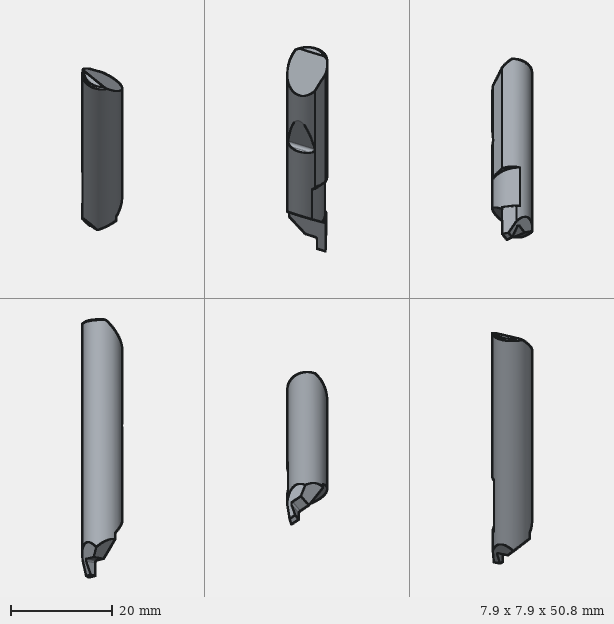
import cadquery as cq
import math

length = 50.8
radius = 3.95
oversize = 3 * radius

top_chamfer_height = 0.3
top_chamfer_width = 0.4
end_slope_axis_z = 48.5

flat_end_y = 2.75

notch_bottom_z = 29.15
notch_top_z = 37.6
notch_floor_y = 2.75
notch_deepest_z = 30.05
notch_corner_radius = 0.6

neck_bottom_z = 7.8
neck_top_z = 19.05
neck_half_width = 3.15
neck_middle_x = -3.3

rake_slope_axis_z = 7.7
front_relief_top_z = 5.9
front_relief_low_y = -1.2
front_relief_low_z = 0.15
bottom_relief_rise = 0.2
bottom_relief_y = -2.4
tip_right_x = -2.1
tip_height = 3.05
tip_corner_radius = 0.4
bevel_start_x = 0.4
bevel_end_z = 6.45
side_relief_end_y = -2.65


def circle_x(y):
    """Negative X of the bar surface at the given Y."""
    return -math.sqrt(radius**2 - y**2)


def cut_along_x(points):
    """Body with a (Y, Z) outline, passing through the bar along X."""
    return cq.Workplane("YZ").polyline(points).close().extrude(oversize, both=True)


def cut_along_y(points):
    """Body with an (X, Z) outline, passing through the bar along Y."""
    return cq.Workplane("XZ").polyline(points).close().extrude(oversize, both=True)


def shank():
    """Round bar with a chamfered top and an inclined end face."""
    bar = cq.Workplane("XY").circle(radius).extrude(length)
    bar = bar.faces(">Z").edges().chamfer(top_chamfer_height, top_chamfer_width)
    sloped_end = cut_along_x([
        (-oversize, end_slope_axis_z + oversize),
        (oversize, end_slope_axis_z - oversize),
        (oversize, end_slope_axis_z + oversize),
    ])
    return bar.cut(sloped_end)


def side_plane_cut(end_y, bottom_z, top_z):
    """Body outside the vertical plane from (-radius, 0) to the bar surface at end_y."""
    end_x = circle_x(end_y)
    outline = [(-radius, 0), (end_x, end_y), (-oversize, end_y), (-oversize, 0)]
    return cq.Workplane("XY").workplane(offset=bottom_z).polyline(outline).close().extrude(top_z - bottom_z)


def clamping_notch():
    """Notch with a sloping floor, a square lower wall and a rounded inner corner."""
    slope = (radius - notch_floor_y) / (notch_top_z - notch_deepest_z)
    corner_y = notch_floor_y - slope * (notch_deepest_z - notch_bottom_z)
    outer_z = notch_top_z + (oversize - radius) / slope
    notch = cut_along_x([(corner_y, notch_bottom_z), (oversize, notch_bottom_z), (oversize, outer_z)])
    return notch.edges("|X and <Y").fillet(notch_corner_radius)


def neck_recess():
    """Shallow curved relief along the -X side."""
    end_x = circle_x(neck_half_width)
    return (
        cq.Workplane("XY").workplane(offset=neck_bottom_z)
        .moveTo(end_x, -neck_half_width)
        .threePointArc((neck_middle_x, 0), (end_x, neck_half_width))
        .lineTo(-oversize, neck_half_width)
        .lineTo(-oversize, -neck_half_width)
        .close()
        .extrude(neck_top_z - neck_bottom_z)
    )


def rake_cut():
    """Half of the bar removed behind the rake face, ending in a 45 degree face."""
    return cut_along_x([
        (0, -oversize),
        (0, rake_slope_axis_z),
        (oversize, rake_slope_axis_z + oversize),
        (oversize, -oversize),
    ])


def front_relief():
    """Inclined clearance on the -Y side of the tip."""
    slope = (front_relief_top_z - front_relief_low_z) / (front_relief_low_y + radius)
    return cut_along_x([
        (-oversize, front_relief_top_z + slope * (oversize - radius)),
        (0, front_relief_low_z + slope * front_relief_low_y),
        (-oversize, front_relief_low_z + slope * front_relief_low_y),
    ])


def bottom_relief():
    """Slight clearance under the cutting edge."""
    slope = bottom_relief_rise / bottom_relief_y
    return cut_along_x([(0, 0), (-oversize, -slope * oversize), (-oversize, 0)])


def tip_clearance():
    """Space beside the narrow tip, continuing into the bevel on the +X side."""
    bevel_slope = (bevel_end_z - tip_height) / (radius - bevel_start_x)
    clearance = cut_along_y([
        (tip_right_x, -oversize),
        (tip_right_x, tip_height),
        (bevel_start_x, tip_height),
        (oversize, tip_height + bevel_slope * (oversize - bevel_start_x)),
        (oversize, -oversize),
    ])
    inner_corner = cq.selectors.NearestToPointSelector((tip_right_x, 0, tip_height))
    return clearance.edges("|Y").edges(inner_corner).fillet(tip_corner_radius)


result = (
    shank()
    .cut(side_plane_cut(flat_end_y, 0, length))
    .cut(clamping_notch())
    .cut(neck_recess())
    .cut(rake_cut())
    .cut(front_relief())
    .cut(bottom_relief())
    .cut(tip_clearance())
    .cut(side_plane_cut(side_relief_end_y, 0, neck_bottom_z))
)